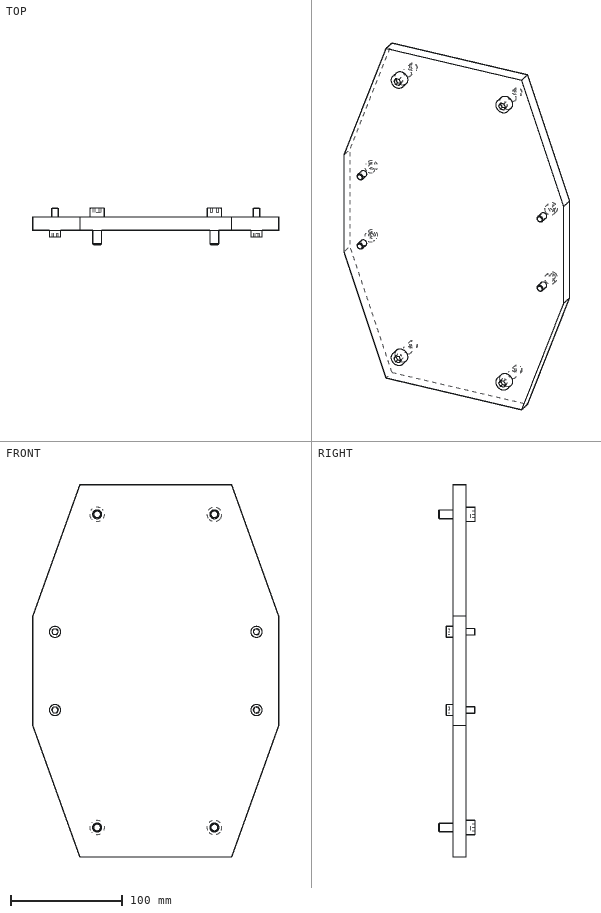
import cadquery as cq

plate_width = 220.0
plate_height = 333.0
plate_thickness = 12.0
end_edge_width = 136.0
side_edge_height = 98.0

large_shank_diameter = 8.0
large_head_diameter = 13.0
large_socket_width = 6.0
large_tip_length = 13.0
large_tip_chamfer = 1.0
large_spacing_x = 105.0
large_spacing_z = 280.0

small_shank_diameter = 6.0
small_head_diameter = 10.0
small_socket_width = 5.0
small_tip_length = 8.0
small_tip_chamfer = 0.5
small_spacing_x = 180.0
small_spacing_z = 70.0

rim_fillet_ratio = 0.1
socket_depth_ratio = 0.5
hexagon_corner_ratio = 2 / 3**0.5


def make_plate():
    """Octagonal plate, symmetric about the XZ plane."""
    side_x = plate_width / 2
    top_z = plate_height / 2
    end_x = end_edge_width / 2
    side_z = side_edge_height / 2
    outline = [
        (end_x, top_z),
        (side_x, side_z),
        (side_x, -side_z),
        (end_x, -top_z),
        (-end_x, -top_z),
        (-side_x, -side_z),
        (-side_x, side_z),
        (-end_x, top_z),
    ]
    return cq.Workplane("XZ").polyline(outline).close().extrude(plate_thickness / 2, both=True)


def make_screw(shank_diameter, head_diameter, socket_width, tip_length, tip_chamfer):
    """Socket head screw with its head on the front face and its tip out of the back."""
    head_height = shank_diameter
    socket_depth = head_height * socket_depth_ratio
    half_thickness = plate_thickness / 2

    head = (
        cq.Workplane("XZ", origin=(0, -half_thickness, 0))
        .circle(head_diameter / 2)
        .extrude(head_height)
        .faces("<Y")
        .edges()
        .fillet(shank_diameter * rim_fillet_ratio)
    )
    socket = (
        cq.Workplane("XZ", origin=(0, -half_thickness - head_height + socket_depth, 0))
        .polygon(6, socket_width * hexagon_corner_ratio)
        .extrude(socket_depth)
    )
    shank = (
        cq.Workplane("XZ", origin=(0, half_thickness + tip_length, 0))
        .circle(shank_diameter / 2)
        .extrude(plate_thickness + tip_length)
        .faces(">Y")
        .edges()
        .chamfer(tip_chamfer)
    )
    return head.cut(socket).union(shank)


def add_screws(body, screw, spacing_x, spacing_z):
    """Join one screw at each corner of a centred rectangle."""
    for x in (-spacing_x / 2, spacing_x / 2):
        for z in (-spacing_z / 2, spacing_z / 2):
            body = body.union(screw.translate((x, 0, z)))
    return body


small_screw = make_screw(
    small_shank_diameter,
    small_head_diameter,
    small_socket_width,
    small_tip_length,
    small_tip_chamfer,
)
large_screw = make_screw(
    large_shank_diameter,
    large_head_diameter,
    large_socket_width,
    large_tip_length,
    large_tip_chamfer,
).mirror("XZ")

plate = make_plate()
plate_with_small_screws = add_screws(plate, small_screw, small_spacing_x, small_spacing_z)
result = add_screws(plate_with_small_screws, large_screw, large_spacing_x, large_spacing_z)